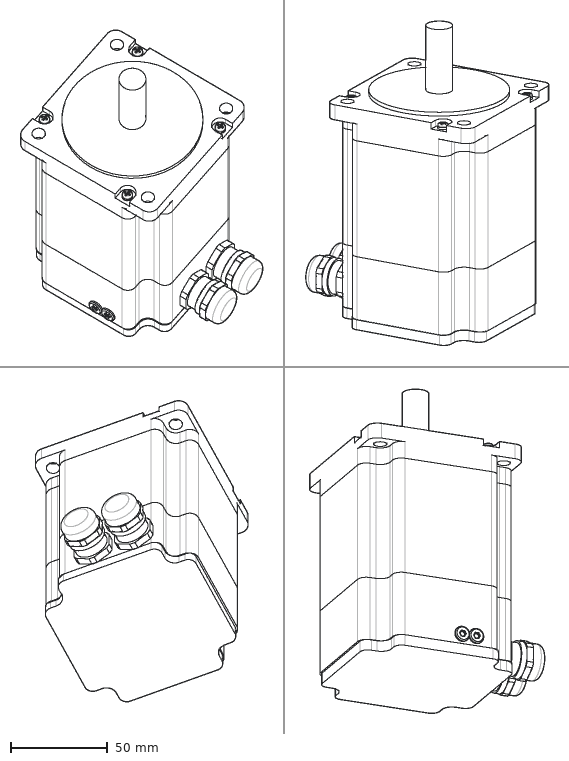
import cadquery as cq
import math

body_width = 86.0
plate_corner_radius = 5.4
hole_spacing = 69.5
hole_diameter = 6.8
scoop_radius = 5.5
body_lobe_radius = 4.9

base_top = 5.9
rear_top = 40.4
stator_top = 103.8
plate_bottom = 113.0
plate_top = 121.2
pilot_top = 123.2
shaft_top = 158.4

pilot_diameter = 73.0
shaft_diameter = 14.0

base_width = 85.0

screw_from_center_line = 24.4
screw_from_axis = 38.5
slot_diameter = 9.0
slot_depth = 3.5
screw_diameter = 5.5
screw_rim_height = 1.1
screw_dome_diameter = 5.4
screw_height = 2.7
screw_dome_round = 1.0
cross_length = 3.2
cross_width = 0.8
cross_depth = 1.3

plug_xs = (7.8, 15.7)
plug_z = 11.1
plug_diameter = 8.0
plug_height = 1.5
plug_chamfer = 0.6
socket_across_flats = 3.2
socket_depth = 0.8
socket_drill_diameter = 2.5
socket_drill_depth = 1.1

gland_ys = (-7.6, 15.5)
gland_z = 16.3
hex_across_flats = 20.0
hex_corner_diameter = 21.5
neck_diameter = 17.7
collar_diameter = 19.8
cap_diameter = 19.5
cap_round = 3.0
hex_end = 3.8
neck_end = 9.3
collar_end = 12.4
nut_end = 16.0
gland_length = 23.5

half_width = body_width / 2
hex_sides = 6
half_hex_angle = 180 / hex_sides
hole_offset = hole_spacing / 2
lobe_center = half_width - body_lobe_radius


def scooped_section(width, bottom, top, center=(0, 0)):
    """Prism with flat sides and corners scooped out between two rounded lobes."""
    half = width / 2
    lobe_radius = half - lobe_center
    wall = hole_offset - scoop_radius
    side_end = wall - lobe_radius
    lobe_mid = lobe_radius * math.sqrt(0.5)
    scoop_mid = hole_offset - scoop_radius * math.sqrt(0.5)

    outline = cq.Workplane("XY", origin=(*center, bottom)).moveTo(half, -side_end)
    for quarter in range(4):
        angle = math.radians(90 * quarter)

        def turned(x, y):
            return (
                x * math.cos(angle) - y * math.sin(angle),
                x * math.sin(angle) + y * math.cos(angle),
            )

        outline = (
            outline.lineTo(*turned(half, side_end))
            .threePointArc(turned(lobe_center + lobe_mid, side_end + lobe_mid), turned(lobe_center, wall))
            .lineTo(*turned(hole_offset, wall))
            .threePointArc(turned(scoop_mid, scoop_mid), turned(wall, hole_offset))
            .lineTo(*turned(wall, lobe_center))
            .threePointArc(turned(side_end + lobe_mid, lobe_center + lobe_mid), turned(side_end, half))
        )
    return outline.close().extrude(top - bottom)


def cylinder(diameter, bottom, top):
    """Round section on the motor axis."""
    return cq.Workplane("XY", origin=(0, 0, bottom)).circle(diameter / 2).extrude(top - bottom)


def screw_slot():
    """Cutter for the open slot of the screw on the -Y side."""
    slot_floor = plate_top - slot_depth
    edge_length = half_width - screw_from_axis
    slot = cq.Workplane("XY", origin=(screw_from_center_line, -screw_from_axis, slot_floor))
    round_end = slot.circle(slot_diameter / 2).extrude(slot_depth)
    mouth = slot.center(0, -edge_length).rect(slot_diameter, 2 * edge_length).extrude(slot_depth)
    return round_end.union(mouth)


def screw_head():
    """Cross-recessed head standing on the slot floor on the -Y side."""
    slot_floor = plate_top - slot_depth
    seat = cq.Workplane("XY", origin=(screw_from_center_line, -screw_from_axis, slot_floor))
    rim = seat.circle(screw_diameter / 2).extrude(screw_rim_height)
    dome = seat.circle(screw_dome_diameter / 2).extrude(screw_height)
    dome = dome.faces(">Z").edges().fillet(screw_dome_round)
    recess_floor = seat.workplane(offset=screw_height - cross_depth)
    cross = recess_floor.rect(cross_length, cross_width).extrude(cross_depth)
    cross = cross.union(recess_floor.rect(cross_width, cross_length).extrude(cross_depth))
    return rim.union(dome).cut(cross)


def make_front_flange():
    """Mounting plate with pilot, shaft and cover screws, on a scooped neck."""
    plate = (
        cq.Workplane("XY", origin=(0, 0, plate_bottom))
        .rect(body_width, body_width)
        .extrude(plate_top - plate_bottom)
        .edges("|Z")
        .fillet(plate_corner_radius)
        .faces(">Z")
        .workplane()
        .rect(hole_spacing, hole_spacing, forConstruction=True)
        .vertices()
        .hole(hole_diameter)
    )
    flange = plate.union(scooped_section(body_width, stator_top, plate_bottom))
    flange = flange.union(cylinder(pilot_diameter, plate_top, pilot_top))
    flange = flange.union(cylinder(shaft_diameter, pilot_top, shaft_top))
    for quarter in range(4):
        angle = 90 * quarter
        flange = flange.cut(screw_slot().rotate((0, 0, 0), (0, 0, 1), angle))
        flange = flange.union(screw_head().rotate((0, 0, 0), (0, 0, 1), angle))
    return flange


def plug_socket(x):
    """Cutter for a plug's hexagonal socket, corners pointing along X, with a drilled bottom."""
    end_face = cq.Workplane("XZ", origin=(x, -half_width - plug_height, plug_z))
    turned_face = end_face.transformed(rotate=(0, 0, half_hex_angle))
    hexagon = turned_face.polygon(hex_sides, socket_across_flats, circumscribed=True).extrude(-socket_depth)
    drill = end_face.circle(socket_drill_diameter / 2).extrude(-socket_drill_depth)
    return hexagon.union(drill)


def make_rear_housing():
    """Rear section carrying the pair of socketed plugs."""
    housing = scooped_section(body_width, base_top, rear_top)
    for x in plug_xs:
        face = cq.Workplane("XZ", origin=(x, -half_width, plug_z))
        plug = face.circle(plug_diameter / 2).extrude(plug_height).faces("<Y").chamfer(plug_chamfer)
        housing = housing.union(plug)
    for x in plug_xs:
        housing = housing.cut(plug_socket(x))
    return housing


def make_gland(y):
    """Cable gland: two hexagons with turned corners, a neck, a collar and a round cap."""

    def section(start):
        return cq.Workplane("YZ", origin=(half_width + start, y, gland_z))

    def turned_hexagon(start, end):
        hexagon = section(start).polygon(hex_sides, hex_across_flats, circumscribed=True).extrude(end - start)
        return hexagon.intersect(section(start).circle(hex_corner_diameter / 2).extrude(end - start))

    cap = section(nut_end).circle(cap_diameter / 2).extrude(gland_length - nut_end)
    cap = cap.faces(">X").edges().fillet(cap_round)
    return (
        turned_hexagon(0, hex_end)
        .union(section(hex_end).circle(neck_diameter / 2).extrude(neck_end - hex_end))
        .union(section(neck_end).circle(collar_diameter / 2).extrude(collar_end - neck_end))
        .union(turned_hexagon(collar_end, nut_end))
        .union(cap)
    )


front_flange = make_front_flange()
stator = scooped_section(body_width, rear_top, stator_top)
rear_housing = make_rear_housing()
base_shift = (body_width - base_width) / 2
base_cap = scooped_section(base_width, 0, base_top, (base_shift, -base_shift))
glands = [make_gland(y) for y in gland_ys]

result = cq.Compound.makeCompound(
    [
        front_flange.val(),
        stator.val(),
        rear_housing.val(),
        base_cap.val(),
        *[gland.val() for gland in glands],
    ]
)